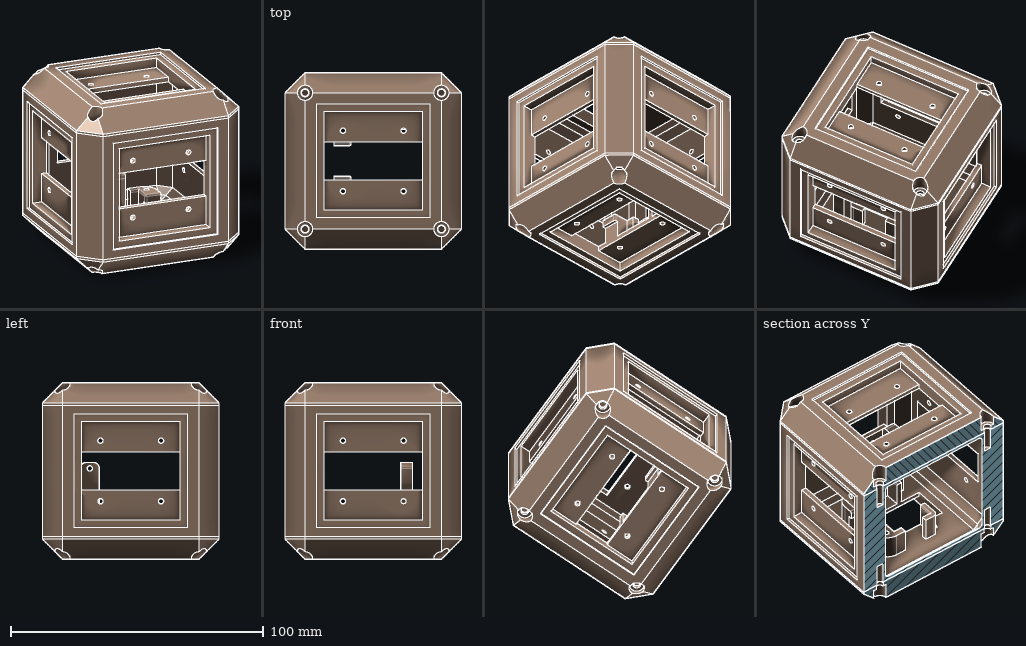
import cadquery as cq

cube_side = 70.0
outer_chamfer = 8.0
wall = 7.0
cavity_side = cube_side - 2 * wall
cavity_chamfer = 4.9
half_cube = cube_side / 2
half_cavity = cavity_side / 2
seam_height = 26.0

rebate_side = 45.0
rebate_depth = 1.0
window_side = 39.0
strip_gap = 15.0
strip_thickness = 2.0
mount_hole_diameter = 2.0
mount_hole_offset = 12.0

screw_offset = half_cube - outer_chamfer
screw_head_diameter = 6.0
screw_clearance_diameter = 3.2
screw_pilot_diameter = 2.8
screw_pilot_depth = 10.0
screw_seat_height = half_cavity

floor = -half_cavity
holder_top = -17.8
holder_height = holder_top - floor
holder_left = -15.6
holder_right = 10.7
holder_half_width = 15.8
lead_in_radius = 0.7
screw_post_lip_end = 6.0
screw_post_short_leg_end = -5.5
screw_post_width = 6.8
screw_post_wall = 3.0
screw_post_corner_radius = 5.6
screw_post_lip_thickness = 3.4
lip_corner_radius = 0.7
corner_post_start = 4.8
corner_post_wall = 2.2
corner_post_end = strip_gap / 2
corner_post_radius = 1.8
corner_post_lead_in = 0.5

tab_left = 10.8
tab_thickness = 4.8
tab_width = 7.6
tab_center_y = 16.2
tab_top = 3.4
tab_corner_radius = 2.4
tab_hole_diameter = 2.0

selection_margin = 0.1


def box_between(x0, x1, y0, y1, z0, z1):
    return cq.Workplane("XY").box(x1 - x0, y1 - y0, z1 - z0, centered=False).translate((x0, y0, z0))


def chamfered_cube(side, chamfer):
    return cq.Workplane("XY").box(side, side, side).edges().chamfer(chamfer)


def window_cut():
    """Rebate and window through the top wall, leaving the two strips along X."""
    rebate = cq.Workplane("XY", origin=(0, 0, half_cube - rebate_depth)).rect(rebate_side, rebate_side)
    strip_top = half_cavity + strip_thickness
    above_strips = cq.Workplane("XY", origin=(0, 0, strip_top)).rect(window_side, window_side)
    gap = cq.Workplane("XY", origin=(0, 0, half_cavity)).rect(window_side, strip_gap)
    holes = (
        cq.Workplane("XY", origin=(0, 0, half_cavity))
        .rect(2 * mount_hole_offset, 2 * mount_hole_offset, forConstruction=True)
        .vertices()
        .circle(mount_hole_diameter / 2)
    )
    return (
        rebate.extrude(rebate_depth)
        .union(above_strips.extrude(wall - strip_thickness))
        .union(gap.extrude(wall))
        .union(holes.extrude(wall))
    )


def screw_cylinders(diameter, bottom, top):
    return (
        cq.Workplane("XY", origin=(0, 0, bottom))
        .rect(2 * screw_offset, 2 * screw_offset, forConstruction=True)
        .vertices()
        .circle(diameter / 2)
        .extrude(top - bottom)
    )


def shell():
    body = chamfered_cube(cube_side, outer_chamfer).cut(chamfered_cube(cavity_side, cavity_chamfer))
    top_window = window_cut()
    body = body.cut(top_window).cut(top_window.mirror("XY"))
    front_window = top_window.rotate((0, 0, 0), (1, 0, 0), 90)
    for quarter_turn in range(4):
        body = body.cut(front_window.rotate((0, 0, 0), (0, 0, 1), 90 * quarter_turn))
    return body


def make_frame(body):
    frame = body.intersect(cq.Workplane("XY").box(cube_side, cube_side, 2 * seam_height))
    pilots = screw_cylinders(screw_pilot_diameter, seam_height - screw_pilot_depth, seam_height)
    return frame.cut(pilots).cut(pilots.mirror("XY"))


def make_top_lid(body):
    slab = box_between(-half_cube, half_cube, -half_cube, half_cube, seam_height, half_cube)
    clearance = screw_cylinders(screw_clearance_diameter, seam_height, half_cube)
    heads = screw_cylinders(screw_head_diameter, screw_seat_height, half_cube)
    return body.intersect(slab).cut(clearance).cut(heads)


def screw_post():
    """L-shaped post at -X, +Y with a screw hole and a lip reaching past the edge of the strip below."""
    inner_x = holder_left + screw_post_width
    inner_y = holder_half_width - screw_post_wall
    mid_height = (floor + holder_top) / 2
    long_leg = box_between(
        holder_left, inner_x, screw_post_lip_end, holder_half_width, floor, holder_top
    )
    short_leg = box_between(
        holder_left, screw_post_short_leg_end, inner_y, holder_half_width, floor, holder_top
    )
    outer_corner = cq.selectors.NearestToPointSelector((holder_left, holder_half_width, mid_height))
    lip_corner = cq.selectors.NearestToPointSelector((inner_x, screw_post_lip_end, mid_height))
    post = long_leg.union(short_leg)
    post = post.edges(outer_corner).fillet(screw_post_corner_radius)
    post = post.edges(lip_corner).fillet(lip_corner_radius)

    inner_edges = cq.selectors.BoxSelector(
        (
            holder_left + selection_margin,
            screw_post_lip_end - selection_margin,
            holder_top - selection_margin,
        ),
        (screw_post_short_leg_end, inner_y + selection_margin, holder_top + selection_margin),
    )
    post = post.edges(inner_edges).fillet(lead_in_radius)

    lip_bottom = holder_top - screw_post_lip_thickness
    under_lip = box_between(holder_left, inner_x, screw_post_lip_end, strip_gap / 2, floor, lip_bottom)
    hole = (
        cq.Workplane("XY", origin=(-mount_hole_offset, mount_hole_offset, floor))
        .circle(mount_hole_diameter / 2)
        .extrude(holder_height)
    )
    return post.cut(under_lip).cut(hole)


def corner_post():
    """Thin L-shaped post at +X, +Y."""
    inner_x = holder_right - corner_post_wall
    inner_y = holder_half_width - corner_post_wall
    block = box_between(
        corner_post_start, holder_right, corner_post_end, holder_half_width, floor, holder_top
    )
    block = block.edges("|Z and >X and >Y").fillet(corner_post_radius)
    pocket = box_between(corner_post_start, inner_x, corner_post_end, inner_y, floor, holder_top)
    lead_in_edge = cq.selectors.NearestToPointSelector(
        (inner_x, (corner_post_end + inner_y) / 2, holder_top)
    )
    return block.cut(pocket).edges(lead_in_edge).fillet(corner_post_lead_in)


def tab():
    return (
        box_between(
            tab_left,
            tab_left + tab_thickness,
            tab_center_y - tab_width / 2,
            tab_center_y + tab_width / 2,
            floor,
            tab_top,
        )
        .edges("|X and >Z")
        .fillet(tab_corner_radius)
        .cut(
            cq.Workplane("YZ", origin=(tab_left, tab_center_y, tab_top - tab_corner_radius))
            .circle(tab_hole_diameter / 2)
            .extrude(tab_thickness)
        )
    )


def make_bottom_lid(top_lid):
    lid = top_lid.mirror("XY")
    for post in (screw_post(), corner_post()):
        lid = lid.union(post).union(post.mirror("XZ"))
    return lid.union(tab())


shell_body = shell()
frame = make_frame(shell_body)
top_lid = make_top_lid(shell_body)
bottom_lid = make_bottom_lid(top_lid)

result = cq.Compound.makeCompound([frame.val(), top_lid.val(), bottom_lid.val()])